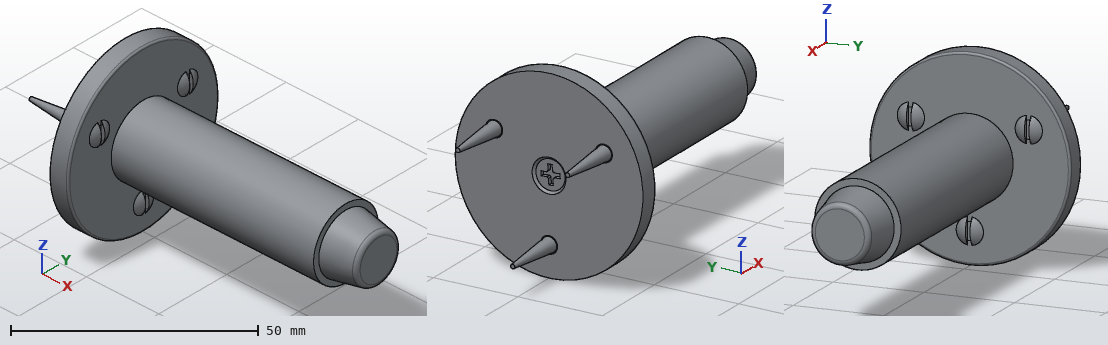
import cadquery as cq
import math


plate_diameter = 44.45
plate_thickness = 5.0
plate_edge_fillet = 0.5

handle_diameter = 19.05
handle_length = 56.0
handle_end = plate_thickness + handle_length

tip_base_diameter = 16.0
tip_length = 9.0
tip_taper_angle = 10.0
tip_edge_fillet = 1.2
tip_end_diameter = tip_base_diameter - 2 * tip_length * math.tan(math.radians(tip_taper_angle))

spike_count = 3
spike_circle_radius = 15.0
first_spike_angle = 30.0
spike_length = 14.0
spike_point_diameter = 1.0
spike_shank_diameter = 4.0
spike_base_diameter = 3.6
spike_head_diameter = 6.0
spike_head_height = 1.1
spike_slot_width = 1.0

countersink_diameter = 8.0
screw_head_diameter = 6.9
screw_shank_diameter = 4.0
screw_length = 16.0
screw_head_depth = (countersink_diameter - screw_head_diameter) / 2
screw_neck_depth = (countersink_diameter - screw_shank_diameter) / 2
screw_end = screw_head_depth + screw_length

cross_span = 4.5
cross_arm_width = 1.05
cross_centre_diameter = 2.0
cross_depth = 1.0
cross_angle = -3.5


def cylinder(diameter, start, length):
    """A cylinder on the X axis that begins at X = start."""
    return cq.Workplane("YZ", origin=(start, 0, 0)).circle(diameter / 2).extrude(length)


def revolve_about_x(profile):
    """Turn a closed profile, drawn as X and radius, about the X axis."""
    return profile.close().revolve(360, (0, 0, 0), (1, 0, 0))


def to_spike_place(body, index):
    """Move a body from the X axis to one of the places on the spike circle."""
    angle = math.radians(first_spike_angle + index * 360 / spike_count)
    return body.translate((0, spike_circle_radius * math.cos(angle), spike_circle_radius * math.sin(angle)))


def make_plate():
    plate = cylinder(plate_diameter, 0, plate_thickness).faces(">X").edges().fillet(plate_edge_fillet)
    countersink = revolve_about_x(
        cq.Workplane("XY")
        .lineTo(0, countersink_diameter / 2)
        .lineTo(screw_neck_depth, screw_shank_diameter / 2)
        .lineTo(plate_thickness, screw_shank_diameter / 2)
        .lineTo(plate_thickness, 0)
    )
    plate = plate.cut(countersink)
    for index in range(spike_count):
        plate = plate.cut(to_spike_place(cylinder(spike_shank_diameter, 0, plate_thickness), index))
    return plate


def make_handle():
    handle = cylinder(handle_diameter, plate_thickness, handle_length)
    screw_hole = cylinder(screw_shank_diameter, plate_thickness, screw_end - plate_thickness)
    return handle.cut(screw_hole)


def make_tip():
    cone = revolve_about_x(
        cq.Workplane("XY")
        .moveTo(handle_end, 0)
        .lineTo(handle_end, tip_base_diameter / 2)
        .lineTo(handle_end + tip_length, tip_end_diameter / 2)
        .lineTo(handle_end + tip_length, 0)
    )
    return cone.faces(">X").edges().fillet(tip_edge_fillet)


def make_spike(index):
    """A pointed screw through the plate, with a slotted dome head on the plate's handle side."""
    head_radius = spike_head_diameter / 2
    head_top = plate_thickness + spike_head_height
    dome_radius = (head_radius**2 + spike_head_height**2) / (2 * spike_head_height)
    dome_mid_x = head_top - spike_head_height / 2
    dome_mid_radius = math.sqrt(dome_radius**2 - (dome_radius - spike_head_height / 2) ** 2)
    spike = revolve_about_x(
        cq.Workplane("XY")
        .moveTo(-spike_length, 0)
        .lineTo(-spike_length, spike_point_diameter / 2)
        .lineTo(0, spike_base_diameter / 2)
        .lineTo(0, spike_shank_diameter / 2)
        .lineTo(plate_thickness, spike_shank_diameter / 2)
        .lineTo(plate_thickness, head_radius)
        .threePointArc((dome_mid_x, dome_mid_radius), (head_top, 0))
    )
    slot = (
        cq.Workplane("XY")
        .box(spike_head_height, spike_slot_width, spike_head_diameter)
        .translate((dome_mid_x, 0, 0))
    )
    return to_spike_place(spike.cut(slot), index)


def make_central_screw():
    """A countersunk screw sunk below the plate's front face, with its shank ending inside the handle."""
    screw = revolve_about_x(
        cq.Workplane("XY")
        .moveTo(screw_head_depth, 0)
        .lineTo(screw_head_depth, screw_head_diameter / 2)
        .lineTo(screw_neck_depth, screw_shank_diameter / 2)
        .lineTo(screw_end, screw_shank_diameter / 2)
        .lineTo(screw_end, 0)
    )
    recess_plane = cq.Workplane("YZ", origin=(screw_head_depth, 0, 0))
    upright_arm = recess_plane.rect(cross_arm_width, cross_span).extrude(cross_depth)
    level_arm = recess_plane.rect(cross_span, cross_arm_width).extrude(cross_depth)
    centre = recess_plane.circle(cross_centre_diameter / 2).extrude(cross_depth)
    cross = upright_arm.union(level_arm).union(centre).rotate((0, 0, 0), (1, 0, 0), cross_angle)
    return screw.cut(cross)


plate = make_plate()
handle = make_handle()
tip = make_tip()
spikes = [make_spike(index) for index in range(spike_count)]
central_screw = make_central_screw()

result = cq.Compound.makeCompound(
    [plate.val(), handle.val(), tip.val(), central_screw.val(), *[spike.val() for spike in spikes]]
)